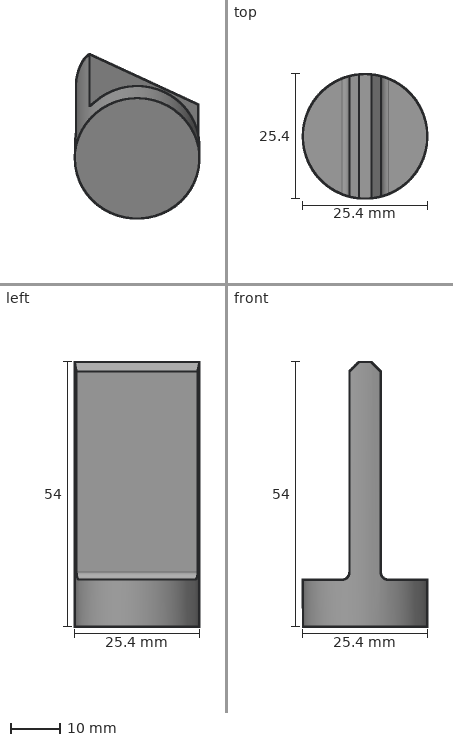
import cadquery as cq

diameter = 25.4
total_height = 54.0
base_height = 9.6

blade_thickness = 6.4
tip_chamfer = 1.95
root_fillet = 1.5

half_blade = blade_thickness / 2
half_tip = half_blade - tip_chamfer
radius = diameter / 2


def make_profile():
    """Inverted-T section in the XZ plane, extruded across the full diameter."""
    right_half = (
        cq.Workplane("XZ")
        .lineTo(radius, 0)
        .lineTo(radius, base_height)
        .lineTo(half_blade + root_fillet, base_height)
        .radiusArc((half_blade, base_height + root_fillet), root_fillet)
        .lineTo(half_blade, total_height - tip_chamfer)
        .lineTo(half_tip, total_height)
        .lineTo(0, total_height)
    )
    return right_half.mirrorY().extrude(radius, both=True)


cylinder = cq.Workplane("XY").circle(radius).extrude(total_height)
result = cylinder.intersect(make_profile())